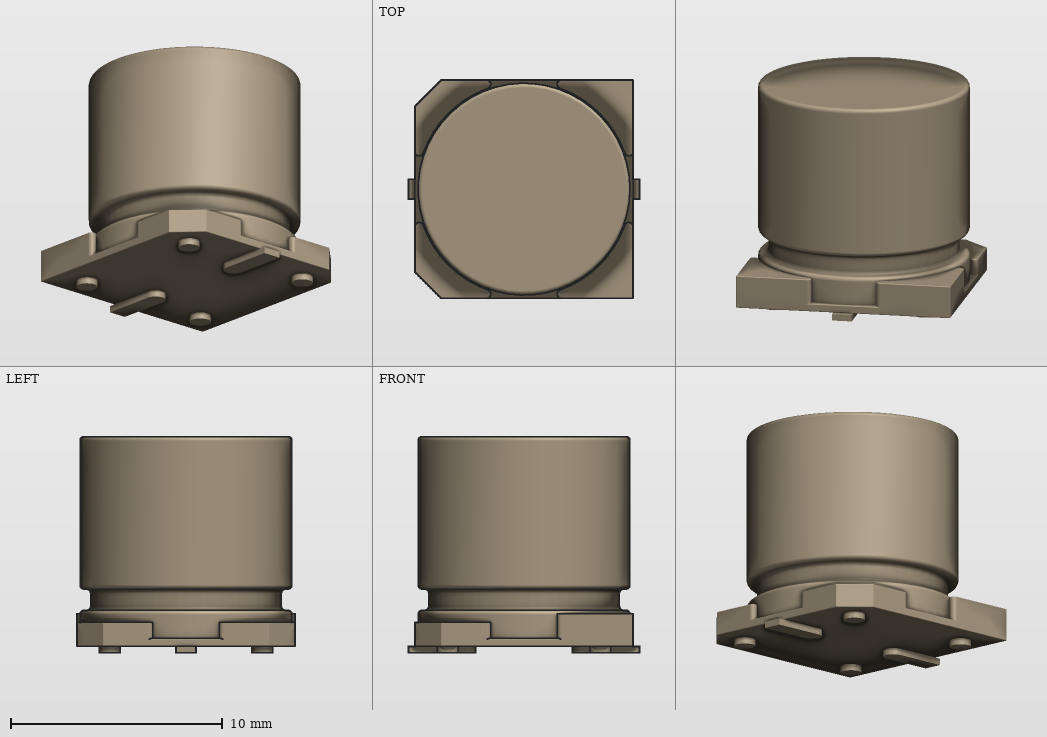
import math

import cadquery as cq

total_height = 10.2
lead_span = 10.9

can_radius = 10.0 / 2
neck_radius = 9.0 / 2
can_fillet = 0.2
groove_bottom = 2.01
groove_top = 3.01

base_width = 10.3
base_half = base_width / 2
base_bottom = 0.3
slot_floor = 0.68
low_block_top = 1.44
high_block_top = 1.85
corner_chamfer = 1.24
slot_width = 3.14
cavity_radius = 5.05
slot_wall_fillet = 0.2
edge_fillet = 0.04

foot_diameter = 1.0
foot_offset = 3.6
lead_width = 0.95
lead_inner_end = 2.28

sides = (-1, 1)
corners = [(side_x, side_y) for side_x in sides for side_y in sides]


def near(x, y, z):
    return cq.selectors.NearestToPointSelector((x, y, z))


def make_can():
    """Can standing on the slot floor, with every ring edge above its foot rounded."""
    profile = (
        cq.Workplane("XZ")
        .moveTo(0, slot_floor)
        .lineTo(can_radius, slot_floor)
        .lineTo(can_radius, groove_bottom)
        .lineTo(neck_radius, groove_bottom)
        .lineTo(neck_radius, groove_top)
        .lineTo(can_radius, groove_top)
        .lineTo(can_radius, total_height)
        .lineTo(0, total_height)
        .close()
    )
    can = profile.revolve(360, (0, 0, 0), (0, 1, 0))
    return can.edges("%CIRCLE").edges("not(<Z)").fillet(can_fillet)


def make_base_body():
    """Base with sharp tops: the two corner blocks at -X are lower and chamfered."""
    body = (
        cq.Workplane("XY", origin=(0, 0, base_bottom))
        .rect(base_width, base_width)
        .extrude(high_block_top - base_bottom)
        .edges("|Z and <X")
        .chamfer(corner_chamfer)
        .edges("|Z")
        .fillet(edge_fillet)
    )

    above_floor = cq.Workplane("XY", origin=(0, 0, slot_floor))
    cavity = above_floor.circle(cavity_radius).extrude(total_height)
    slot_along_x = above_floor.rect(base_width, slot_width).extrude(total_height)
    slot_along_y = above_floor.rect(slot_width, base_width).extrude(total_height)

    above_low_blocks = (
        cq.Workplane("XY", origin=(-base_half, 0, low_block_top))
        .rect(base_width, base_width)
        .extrude(total_height)
    )
    return body.cut(cavity).cut(slot_along_x).cut(slot_along_y).cut(above_low_blocks)


def round_slot_walls(base):
    """Round both upright edges of each slot wall, at the cavity and at the outer face."""
    wall = slot_width / 2
    cavity_end = math.sqrt(cavity_radius**2 - wall**2)
    wall_middle_z = (slot_floor + low_block_top) / 2
    wall_edges = [(wall, cavity_end), (cavity_end, wall), (wall, base_half), (base_half, wall)]
    for side_x, side_y in corners:
        for x, y in wall_edges:
            edge = near(side_x * x, side_y * y, wall_middle_z)
            base = base.edges("|Z").edges(edge).fillet(slot_wall_fillet)
    return base


def round_small_edges(base):
    """Lightly round the underside, the block tops and the outer edges of the slot floor."""
    base = base.faces("<Z").edges().fillet(edge_fillet)
    for side_x, side_y in corners:
        top_z = high_block_top if side_x > 0 else low_block_top
        block_top = near(side_x * base_half, side_y * base_half, top_z)
        base = base.faces("+Z").faces(block_top).edges().fillet(edge_fillet)
    for side in sides:
        base = base.edges(near(side * base_half, 0, slot_floor)).fillet(edge_fillet)
        base = base.edges(near(0, side * base_half, slot_floor)).fillet(edge_fillet)
    return base


def make_foot(x, y):
    return cq.Workplane("XY").center(x, y).circle(foot_diameter / 2).extrude(base_bottom)


def make_lead(side):
    """Flat lead running out past the base, with a rounded inner end."""
    end_radius = lead_width / 2
    arc_start = lead_inner_end + end_radius
    outer_end = lead_span / 2
    return (
        cq.Workplane("XY")
        .moveTo(side * outer_end, -end_radius)
        .lineTo(side * arc_start, -end_radius)
        .threePointArc((side * lead_inner_end, 0), (side * arc_start, end_radius))
        .lineTo(side * outer_end, end_radius)
        .close()
        .extrude(base_bottom)
    )


result = round_small_edges(round_slot_walls(make_base_body()))
result = result.union(make_can())
for side in sides:
    result = result.union(make_lead(side))
for side_x, side_y in corners:
    result = result.union(make_foot(side_x * foot_offset, side_y * foot_offset))